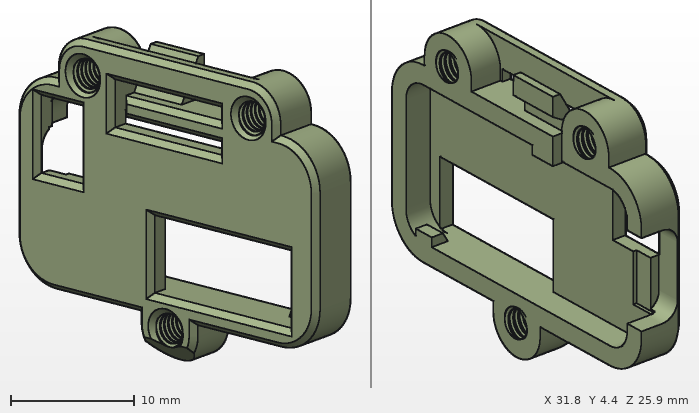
import cadquery as cq
import math

width = 31.8
depth = 4.4
body_height = 18.0
corner_radius = 4.0
wall = 1.8
bevel = 0.5
bevel_angle = 45

floor_thickness = 1.85
bridge_thickness = 1.35

boss_radius = 3.0
upper_boss_x = 8.75
upper_boss_z = 18.95
lower_boss_z = -0.95
lower_boss_cut = 1.97

hole_diameter = 2.55
thread_diameter = 3.1
thread_pitch = 0.5
thread_start_angle = 120.0
thread_mouth = 0.4
thread_root = 0.13
thread_overlap = 0.05
countersink_diameter = 3.7
sleeve_radius = 2.05

cavity_side = width / 2 - wall
cavity_top = body_height - wall
side_window = (-13.55, -9.15, 9.55, cavity_top)
main_window = (-1.55, 12.85, wall, 8.43)
latch_slot = (-5.75, 5.5, 15.05, 19.15)
latch_free_end = -4.6

ramp_angle = 30
ramp_run = math.tan(math.radians(ramp_angle))
latch_hook_end = 0.4
latch_hook_height = 3.63
latch_hook_flat = 0.75
latch_hook_back_height = 1.85
latch_neck_back = 3.18
lip_height = 0.9
lip_flat = 1.18
latch_lip_end = -1.97
corner_lip = (10.8, 12.85)

notch_bottom = 4.7
notch_top = 13.2
notch_front = 0.6
notch_radius = 1.6
pocket_front = 1.5
pocket_end = -11.77


def face_plane(y):
    """Sketch plane at depth y: local axes are X and Z, extrusion runs towards the face."""
    return cq.Workplane("XZ", origin=(0, y, 0))


def block(x_range, y_range, z_range):
    lengths = [high - low for low, high in (x_range, y_range, z_range)]
    corner = (x_range[0], y_range[0], z_range[0])
    return cq.Workplane("XY").box(*lengths, centered=False).translate(corner)


def body_outline(y, length, inset=0.0):
    """Rounded rectangle of the body, shrunk by inset on all sides."""
    return (
        face_plane(y)
        .center(0, body_height / 2)
        .rect(width - 2 * inset, body_height - 2 * inset)
        .extrude(length)
        .edges("|Y")
        .fillet(corner_radius - inset)
    )


def boss(x, z, z_root):
    """Round-ended boss whose straight sides run from its centre to z_root."""
    round_end = face_plane(depth).center(x, z).circle(boss_radius).extrude(depth)
    z_range = (min(z, z_root), max(z, z_root))
    return round_end.union(block((x - boss_radius, x + boss_radius), (0, depth), z_range))


def shell():
    """Bevelled plate with the surrounding wall and the three bosses."""
    solid = body_outline(depth, depth)
    for x in (-upper_boss_x, upper_boss_x):
        solid = solid.union(boss(x, upper_boss_z, cavity_top))
    solid = solid.union(boss(0, lower_boss_z, wall))
    bridge_z = (cavity_top, upper_boss_z + boss_radius)
    bridge = block((-upper_boss_x, upper_boss_x), (0, bridge_thickness), bridge_z)
    solid = solid.union(bridge)
    solid = solid.faces("<Y").edges().chamfer(bevel)
    cavity = body_outline(depth, depth - floor_thickness, wall)
    return solid.cut(cavity)


def grown_window(window, margin):
    """Corner points of a rectangular window, moved outwards by margin."""
    x_min, x_max, z_min, z_max = window
    left, right = x_min - margin, x_max + margin
    bottom, top = z_min - margin, z_max + margin
    return [(left, bottom), (right, bottom), (right, top), (left, top)]


def grown_latch_slot(slot, margin):
    """Corner points of the C-shaped slot that frees the latch arm on three sides."""
    bottom_left, bottom_right, top_right, top_left = grown_window(slot, margin)
    arm_root = bottom_right[0]
    arm_end = latch_free_end + margin
    arm_bottom = cavity_top + margin
    arm_top = body_height - margin
    arm = [(arm_root, arm_bottom), (arm_end, arm_bottom), (arm_end, arm_top), (arm_root, arm_top)]
    return [bottom_left, bottom_right, *arm, top_right, top_left]


def bevelled_opening(grown_outline, opening, cut_depth):
    """Straight cut from the face to cut_depth, flared by the bevel at the face."""
    inner = grown_outline(opening, 0)
    outer = grown_outline(opening, bevel)
    straight = face_plane(cut_depth).polyline(inner).close().extrude(cut_depth)
    outer_wire = face_plane(0).polyline(outer).close().val()
    inner_wire = face_plane(bevel).polyline(inner).close().val()
    flare = cq.Solid.makeLoft([outer_wire, inner_wire], True)
    return straight.union(cq.Workplane(flare))


def extrude_profile(points, x_range):
    """Prism along X over x_range from a profile of (y, z) points."""
    profile = cq.Workplane("YZ", origin=(x_range[0], 0, 0)).polyline(points).close()
    return profile.extrude(x_range[1] - x_range[0])


def lip(x_range, z_root, height):
    """Small ramped lip at the back edge, rising from z_root; a negative height makes it hang."""
    ramp_top = depth - lip_flat
    ramp_foot = ramp_top - abs(height) * ramp_run
    z_tip = z_root + height
    return extrude_profile([(ramp_foot, z_root), (ramp_top, z_tip), (depth, z_tip), (depth, z_root)], x_range)


def latch_hook():
    """Tall hook on the latch arm: ramped at the front, undercut at the back."""
    ramp_top = depth - latch_hook_flat
    ramp_foot = ramp_top - latch_hook_height * ramp_run
    z_tip = body_height + latch_hook_height
    z_undercut = z_tip - latch_hook_back_height
    z_neck = z_undercut - (depth - latch_neck_back) * ramp_run
    profile = [
        (ramp_foot, body_height),
        (ramp_top, z_tip),
        (depth, z_tip),
        (depth, z_undercut),
        (latch_neck_back, z_neck),
        (latch_neck_back, body_height),
    ]
    return extrude_profile(profile, (latch_free_end, latch_hook_end))


def plug_notch():
    """Rounded notch through the -X wall, and the pocket behind it."""
    x_range = (-width / 2, side_window[0])
    z_range = (notch_bottom, notch_top)
    notch = block(x_range, (notch_front, depth), z_range).edges("|X and <Y").fillet(notch_radius)
    pocket = block((-cavity_side, pocket_end), (pocket_front, depth), z_range)
    return notch.union(pocket)


def thread_groove():
    """Helical V groove around the Y axis, running past both ends of the hole."""
    hole_radius = hole_diameter / 2
    inner_radius = hole_radius - thread_overlap
    root_radius = thread_diameter / 2
    helix = cq.Wire.makeHelix(thread_pitch, depth + 2 * thread_pitch, hole_radius)
    groove = (
        cq.Workplane("XZ")
        .moveTo(inner_radius, -thread_mouth / 2)
        .lineTo(inner_radius, thread_mouth / 2)
        .lineTo(root_radius, thread_root / 2)
        .lineTo(root_radius, -thread_root / 2)
        .close()
        .sweep(cq.Workplane(helix), isFrenet=True)
    )
    groove = groove.rotate((0, 0, 0), (0, 0, 1), thread_start_angle)
    return groove.rotate((0, 0, 0), (1, 0, 0), -90).translate((0, -thread_pitch, 0))


def threaded_sleeve():
    """Full-depth sleeve around the Y axis with the threaded, countersunk hole in it."""
    sleeve = face_plane(depth).circle(sleeve_radius).extrude(depth)
    bore = face_plane(depth).circle(hole_diameter / 2).extrude(depth)
    sink_depth = (countersink_diameter - hole_diameter) / 2
    sink = face_plane(0).circle(countersink_diameter / 2).extrude(-sink_depth, taper=bevel_angle)
    return sleeve.cut(thread_groove()).cut(bore).cut(sink)


def lower_boss_wedge():
    """45 degree wedge under the face end of the lower boss."""
    z_bottom = lower_boss_z - boss_radius
    profile = [(0, z_bottom + lower_boss_cut), (lower_boss_cut, z_bottom), (0, z_bottom)]
    return extrude_profile(profile, (-boss_radius, boss_radius))


result = shell()

for window in (side_window, main_window):
    result = result.cut(bevelled_opening(grown_window, window, floor_thickness))
result = result.cut(bevelled_opening(grown_latch_slot, latch_slot, depth))
result = result.cut(plug_notch())

result = result.union(latch_hook())
result = result.union(lip((latch_free_end, latch_lip_end), cavity_top, -lip_height))
result = result.union(lip(corner_lip, wall, lip_height))

sleeve_seat = face_plane(depth).circle(sleeve_radius).extrude(depth)
sleeve = threaded_sleeve()
for x, z in ((-upper_boss_x, upper_boss_z), (upper_boss_x, upper_boss_z), (0, lower_boss_z)):
    result = result.cut(sleeve_seat.translate((x, 0, z)))
    result = result.union(sleeve.translate((x, 0, z)))
result = result.cut(lower_boss_wedge())